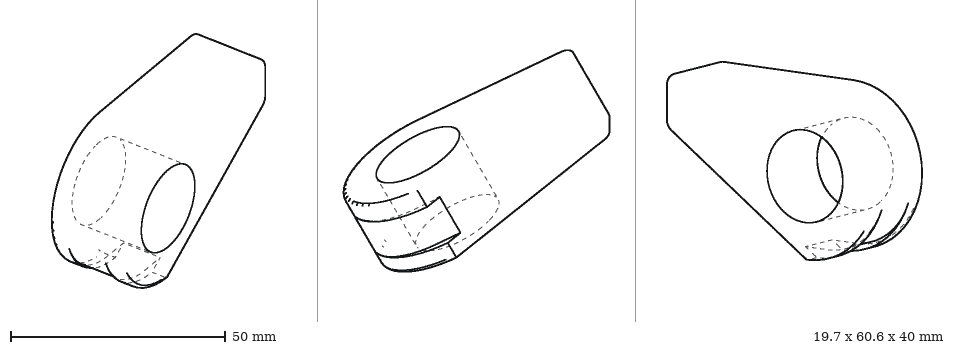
import cadquery as cq
import math

overall_length = 60.6
width = 19.7
head_radius = 20.0
bore_diameter = 22.0
end_height = 12.85
end_corner_radius = 3.05
edge_radius = 1.0

groove_width = 10.4
groove_floor_radius = 16.65
groove_start_drop = 6.6

end_y = overall_length - head_radius
end_bottom_z = head_radius - end_height


def make_body():
    """Round head with a tapering arm, rounded at the arm's end and side edges."""
    body = (
        cq.Workplane("YZ")
        .moveTo(0, head_radius)
        .threePointArc((-head_radius, 0), (0, -head_radius))
        .lineTo(end_y, end_bottom_z)
        .lineTo(end_y, head_radius)
        .close()
        .extrude(width / 2, both=True)
    )
    body = body.faces(">Y").edges("|X").fillet(end_corner_radius)
    return body.faces("<X or >X").edges().fillet(edge_radius)


def make_bore():
    return cq.Workplane("YZ", origin=(-width / 2, 0, 0)).circle(bore_diameter / 2).extrude(width)


def make_groove():
    """Groove that blends out of the head surface, curves under it and runs flat through the slope."""
    start_angle = math.asin(groove_start_drop / head_radius)
    middle_angle = (start_angle + math.pi / 2) / 2
    center_offset = head_radius - groove_floor_radius
    center_y = -center_offset * math.cos(start_angle)
    center_z = -center_offset * math.sin(start_angle)

    def floor_point(angle):
        return (
            center_y - groove_floor_radius * math.cos(angle),
            center_z - groove_floor_radius * math.sin(angle),
        )

    start = floor_point(start_angle)
    lowest = floor_point(math.pi / 2)
    outside = 2 * head_radius
    return (
        cq.Workplane("YZ", origin=(-groove_width / 2, 0, 0))
        .moveTo(*start)
        .threePointArc(floor_point(middle_angle), lowest)
        .lineTo(end_y, lowest[1])
        .lineTo(end_y, -outside)
        .lineTo(-outside, -outside)
        .lineTo(-outside, start[1])
        .close()
        .extrude(groove_width)
    )


result = make_body().cut(make_bore()).cut(make_groove())